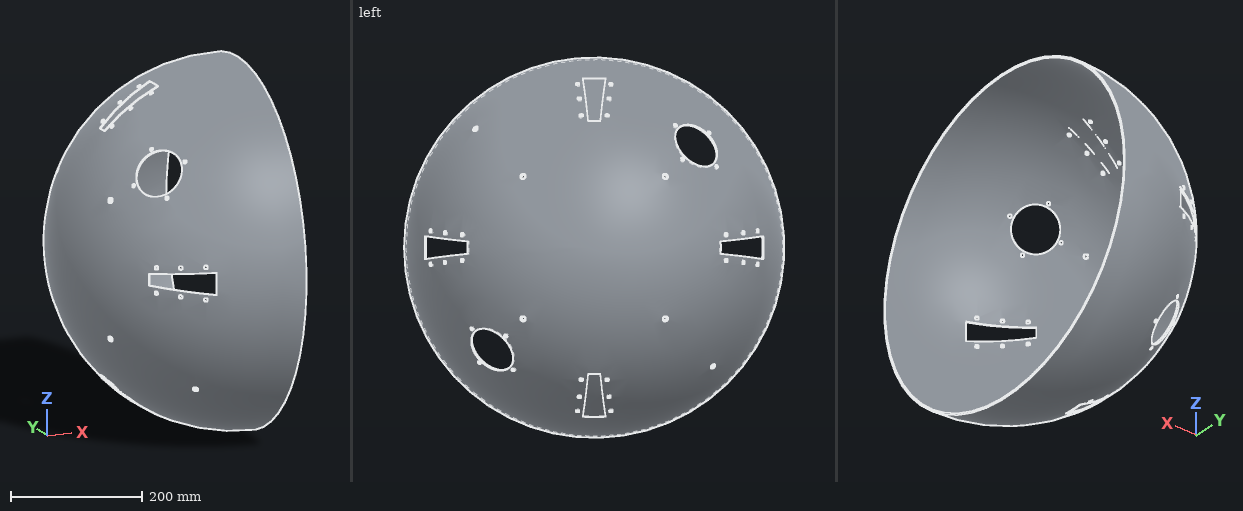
import cadquery as cq
import math

OUTER_RADIUS = 290.0
WALL = 3.0
RIM_X = 4.0
INNER_RADIUS = OUTER_RADIUS - WALL

WINDOW_POLAR = 52.4
WINDOW_LENGTH = 107.0
WINDOW_NARROW_WIDTH = 18.5
WINDOW_WIDE_WIDTH = 35.0
RECESS_DEPTH = 1.0
OPEN_WINDOW_AZIMUTHS = (0, 180)
RECESSED_WINDOW_AZIMUTHS = (90, 270)

SCREW_DIAMETER = 6.0
SCREW_MIDDLE_POLAR = 52.1
SCREW_POLAR_PITCH = 7.8
SCREW_MIDDLE_OFFSET = 22.5
SCREW_OFFSET_STEP = 3.0

PORTHOLE_DIAMETER = 76.0
PORTHOLE_POLAR = 50.0
PORTHOLE_AZIMUTHS = (135, 315)
PORTHOLE_SCREW_DIAMETER = 5.4
PORTHOLE_SCREW_CIRCLE = 89.0
PORTHOLE_SCREW_COUNT = 4

MOUNT_DIAMETER = 6.0
MOUNT_MOUTH_DIAMETER = 8.5
MOUNT_MOUTH_DEPTH = 1.0
INNER_MOUNT_POLAR = 32.0
INNER_MOUNT_AZIMUTHS = (45, 135, 225, 315)
OUTER_MOUNT_POLAR = 62.2
OUTER_MOUNT_AZIMUTHS = (45, 225)

CUTTER_REACH = 17.5


def surface_plane(polar, azimuth):
    """Plane touching the sphere: local x runs from the pole to the rim, z points outward.

    Azimuth turns about the X axis, from +Y toward +Z.
    """
    p = math.radians(polar)
    a = math.radians(azimuth)
    outward = cq.Vector(-math.cos(p), math.sin(p) * math.cos(a), math.sin(p) * math.sin(a))
    toward_rim = cq.Vector(math.sin(p), math.cos(p) * math.cos(a), math.cos(p) * math.sin(a))
    return cq.Plane(outward * OUTER_RADIUS, toward_rim, outward)


def radial_cylinder(polar, azimuth, diameter, depth=CUTTER_REACH):
    """Cylinder along the sphere's radius, reaching the given depth below the surface."""
    return (
        cq.Workplane(surface_plane(polar, azimuth))
        .workplane(offset=-depth)
        .circle(diameter / 2)
        .extrude(depth + CUTTER_REACH)
    )


def dome_solid(radius):
    """Solid ball centered on the origin, cut flat at the rim."""
    arc_middle = radius * math.sqrt(0.5)
    rim_radius = math.sqrt(radius**2 - RIM_X**2)
    return (
        cq.Workplane("XY")
        .moveTo(-radius, 0)
        .threePointArc((-arc_middle, arc_middle), (RIM_X, rim_radius))
        .lineTo(RIM_X, 0)
        .close()
        .revolve(360, (0, 0, 0), (1, 0, 0))
    )


def window_prism(azimuth):
    """Trapezoidal prism through the wall, widening toward the rim."""
    half_length = WINDOW_LENGTH / 2
    half_narrow = WINDOW_NARROW_WIDTH / 2
    half_wide = WINDOW_WIDE_WIDTH / 2
    return (
        cq.Workplane(surface_plane(WINDOW_POLAR, azimuth))
        .workplane(offset=-CUTTER_REACH)
        .polyline([
            (-half_length, -half_narrow),
            (half_length, -half_wide),
            (half_length, half_wide),
            (-half_length, half_narrow),
        ])
        .close()
        .extrude(2 * CUTTER_REACH)
    )


def window_screws(azimuth):
    """Three radial screw holes on each long side of a window."""
    cutters = []
    for step in (-1, 0, 1):
        polar = SCREW_MIDDLE_POLAR + step * SCREW_POLAR_PITCH
        offset = SCREW_MIDDLE_OFFSET + step * SCREW_OFFSET_STEP
        distance_from_axis = OUTER_RADIUS * math.sin(math.radians(polar))
        turn = math.degrees(math.asin(offset / distance_from_axis))
        for side in (-1, 1):
            cutters.append(radial_cylinder(polar, azimuth + side * turn, SCREW_DIAMETER))
    return cutters


def porthole_screws(azimuth):
    """Screw holes around a porthole, parallel to the porthole axis."""
    return (
        cq.Workplane(surface_plane(PORTHOLE_POLAR, azimuth))
        .workplane(offset=-CUTTER_REACH)
        .polarArray(PORTHOLE_SCREW_CIRCLE / 2, 0, 360, PORTHOLE_SCREW_COUNT)
        .circle(PORTHOLE_SCREW_DIAMETER / 2)
        .extrude(2 * CUTTER_REACH)
    )


def mount_hole(polar, azimuth):
    """Through hole with a shallow wider mouth on the outside."""
    mouth = radial_cylinder(polar, azimuth, MOUNT_MOUTH_DIAMETER, MOUNT_MOUTH_DEPTH)
    return radial_cylinder(polar, azimuth, MOUNT_DIAMETER).union(mouth)


cutters = []

for azimuth in OPEN_WINDOW_AZIMUTHS:
    cutters.append(window_prism(azimuth))

recess_floor = dome_solid(OUTER_RADIUS - RECESS_DEPTH)
for azimuth in RECESSED_WINDOW_AZIMUTHS:
    cutters.append(window_prism(azimuth).cut(recess_floor))

for azimuth in OPEN_WINDOW_AZIMUTHS + RECESSED_WINDOW_AZIMUTHS:
    cutters.extend(window_screws(azimuth))

for azimuth in PORTHOLE_AZIMUTHS:
    cutters.append(radial_cylinder(PORTHOLE_POLAR, azimuth, PORTHOLE_DIAMETER))
    cutters.append(porthole_screws(azimuth))

for azimuth in INNER_MOUNT_AZIMUTHS:
    cutters.append(mount_hole(INNER_MOUNT_POLAR, azimuth))
for azimuth in OUTER_MOUNT_AZIMUTHS:
    cutters.append(mount_hole(OUTER_MOUNT_POLAR, azimuth))

result = dome_solid(OUTER_RADIUS).cut(dome_solid(INNER_RADIUS))
for cutter in cutters:
    result = result.cut(cutter)